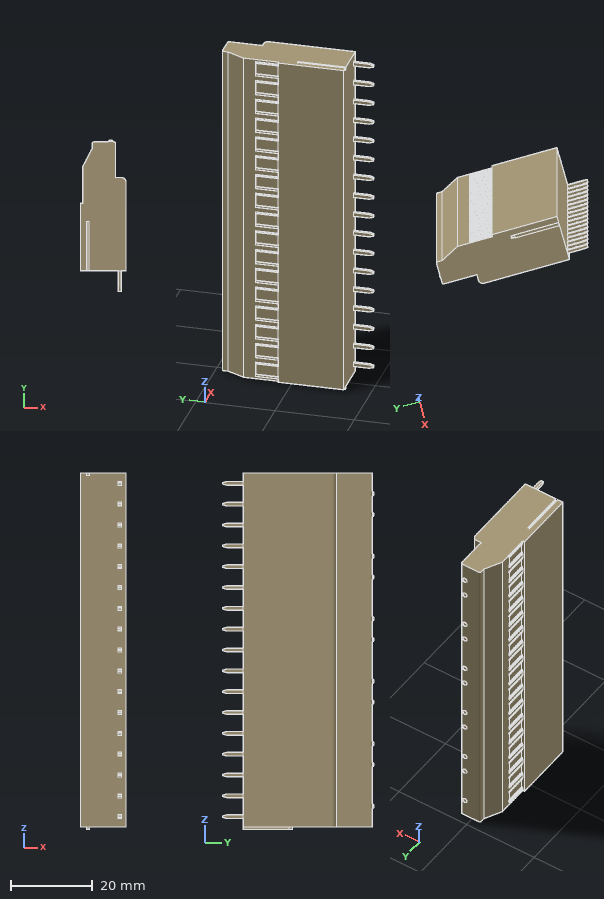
import cadquery as cq

pole_count = 17
overall_height = 87.0
rail_height = 0.6
overall_depth = 37.0
bump_height = 0.4
pin_length = 5.05
body_width = 11.1

body_height = overall_height - rail_height
pitch = body_height / pole_count
body_depth = overall_depth - bump_height - pin_length

step_depth = 16.5
step_inset = 0.5
slope_start_depth = 25.4
slope_end_depth = 29.9
nose_left = 2.9
nose_right = 8.6
shoulder_depth = 22.8
shoulder_radius = 1.1
nose_radius = 0.4

window_length = 5.8
frame_height = 3.8
frame_recess = 0.1
pocket_height = 2.9
pocket_recess = 0.35

pin_x = 9.6
pin_width = 0.8
pin_height = 1.0
pin_tip_height = 0.35
pin_taper_length = 1.05

bump_boundaries = [1, 2, 4, 5, 7, 8, 10, 11, 13, 14, 16]
bump_x = 7.4
bump_base_radius = 0.6

rail_x = 1.8
rail_neck_width = 0.5
rail_crown_width = 0.8
rail_length = 12.1
rail_lead_length = 0.9


def pole_z(index):
    """Height of the middle of a pole, counted from the bottom of the body."""
    return (index + 0.5) * pitch


def make_body():
    body = (
        cq.Workplane("XY")
        .polyline([
            (0, 0),
            (body_width, 0),
            (body_width, shoulder_depth),
            (nose_right, shoulder_depth),
            (nose_right, body_depth),
            (nose_left, body_depth),
            (nose_left, slope_end_depth),
            (step_inset, slope_start_depth),
            (step_inset, step_depth),
            (0, step_depth),
        ])
        .close()
        .extrude(body_height)
    )
    shoulder_point = (body_width, shoulder_depth, body_height / 2)
    body = body.edges(cq.NearestToPointSelector(shoulder_point)).fillet(shoulder_radius)
    return body.edges("|Z and >Y").fillet(nose_radius)


def make_window(z):
    def recess(height, depth):
        return cq.Workplane("XY").box(depth, window_length, height, centered=(False, False, True))

    window = recess(frame_height, frame_recess).union(recess(pocket_height, pocket_recess))
    return window.translate((step_inset, step_depth, z))


def make_pin(z):
    """Rectangular pin whose tip tapers in height; its root sits on the -Y face of the body."""
    half_height = pin_height / 2
    half_tip = pin_tip_height / 2
    taper_start = pin_taper_length - pin_length
    return (
        cq.Workplane("YZ")
        .polyline([
            (0, -half_height),
            (taper_start, -half_height),
            (-pin_length, -half_tip),
            (-pin_length, half_tip),
            (taper_start, half_height),
            (0, half_height),
        ])
        .close()
        .extrude(pin_width / 2, both=True)
        .translate((pin_x, 0, z))
    )


def make_bump(z):
    """Spherical cap standing bump_height proud of the +Y face."""
    sphere_radius = (bump_base_radius**2 + bump_height**2) / (2 * bump_height)
    sphere_y = body_depth + bump_height - sphere_radius
    return cq.Workplane("XY").sphere(sphere_radius).translate((bump_x, sphere_y, z))


def make_dovetail(length, z):
    """Dovetail prism below height z, narrow at its top, running from the -Y face."""
    half_neck = rail_neck_width / 2
    half_crown = rail_crown_width / 2
    return (
        cq.Workplane("XZ")
        .polyline([
            (-half_neck, 0),
            (half_neck, 0),
            (half_crown, -rail_height),
            (-half_crown, -rail_height),
        ])
        .close()
        .extrude(-length)
        .translate((rail_x, 0, z))
    )


def make_rail_lead():
    """Straight narrow end of the rail."""
    return (
        cq.Workplane("XY")
        .box(rail_neck_width, rail_length, rail_height, centered=(True, False, False))
        .translate((rail_x, 0, -rail_height))
    )


result = make_body()

for pole in range(pole_count):
    result = result.cut(make_window(pole_z(pole)))
    result = result.union(make_pin(pole_z(pole)))

for boundary in bump_boundaries:
    result = result.union(make_bump(body_height - boundary * pitch))

result = result.cut(make_dovetail(rail_length, body_height))
result = result.union(make_dovetail(rail_length - rail_lead_length, 0))
result = result.union(make_rail_lead())